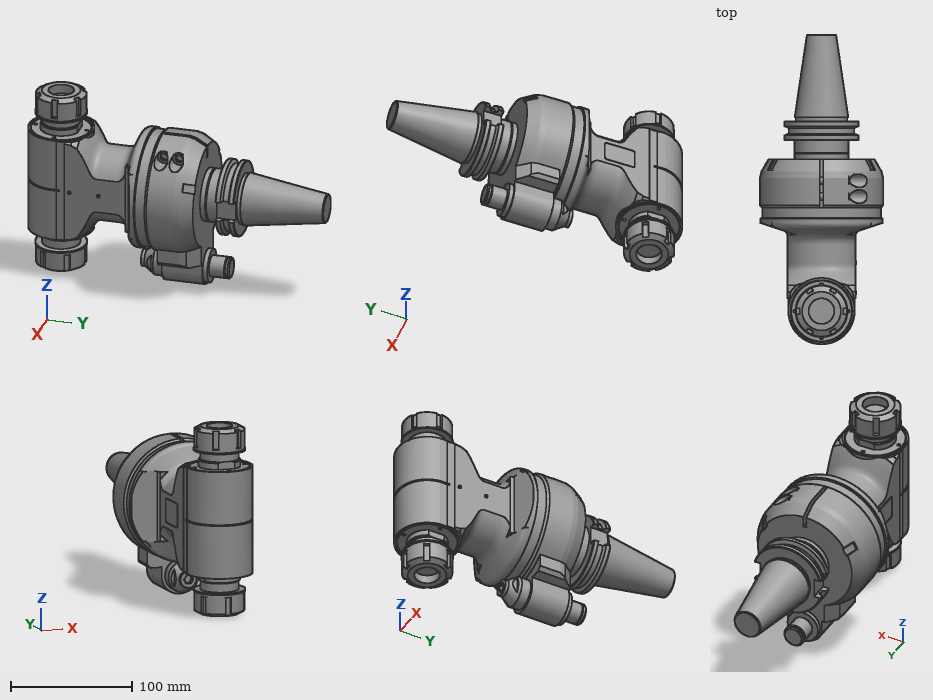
import cadquery as cq
import math


TAPER_LENGTH = 68.4
GAUGE_RADIUS = 44.45 / 2
TAPER_SLOPE = 7 / 24 / 2
TAPER_TIP_CHAMFER = 0.8
RELIEF_RADIUS = 21.4
FLANGE_BACK = -3.2
FLANGE_FRONT = -19.1
FLANGE_RADIUS = 63.55 / 2
FLANGE_CHAMFER = 0.6
GRIP_CENTER = -11.1
GRIP_RADIUS = 28.4
GRIP_FLOOR_WIDTH = 4.6
GRIP_MOUTH_WIDTH = 7.6
DRIVE_SLOT_WIDTH = 17.0
DRIVE_SLOT_FLOOR = 25.0
NECK_RADIUS = 22.4
NECK_END = -29.3
GAP_WIDTH = 0.9
GAP_RADIUS = 21.4

BOSS_RADIUS = NECK_RADIUS
DRUM_BACK = -34.5
DRUM_BACK_RADIUS = 43.8
DRUM_CONE_END = -44.7
DRUM_CONE_END_RADIUS = 49.6
DRUM_SHOULDER = -50.0
DRUM_RADIUS = 51.0
DRUM_FRONT = -72.5
DRUM_LIP = 2.1
COLLAR_RADIUS = 49.2
COLLAR_FRONT = -82.9
RIM_RADIUS = 50.5
RIM_CHAMFER = 0.7
RIM_FRONT = -87.4
RIM_ROUND_MIDDLE = (49.9, -89.6)
RIM_ROUND_END = (48.3, -91.3)

SLIT_WIDTH = 2.8
SLIT_FLOOR = 34.0
SCREW_YS = (-52.3, -65.4)
SCREW_Z = 40.0
SCREW_SHANK_DIAMETER = 6.0
SCREW_POCKET_DIAMETER = 11.0
SCREW_POCKET_FLOOR = 22.5
SCREW_RECESS_DIAMETER = 6.5
SCREW_RECESS_DEPTH = 3.0
NOTCH_ANGLES = (29, 151)
NOTCH_WIDTH = 7.0
NOTCH_DEPTH = 1.6
NOTCH_LENGTH = 9.0

ARM_HALF_WIDTH = 28.2
WAIST_RADIUS = 31.9
WAIST_BACK = -98.9
WAIST_BACK_SLOPE = 65.0
WAIST_BACK_FILLET = 9.0
WAIST_FRONT = -125.9
WAIST_FRONT_SLOPE = 57.0
WAIST_FRONT_FILLET = 8.0
SHOULDER_1 = (44.5, -134.6)
SHOULDER_2 = (49.2, -138.5)
SHOULDER_3 = (51.4, -143.8)
ARM_MAX_RADIUS = 52.0
ARM_FRONT = -149.5
BEVEL_OUTER = (50.5, -87.1)
BEVEL_INNER = (29.6, -94.2)
BEVEL_END_Y = -96.9
BEVEL_HALF_HEIGHT = 29.4
PLATE_CENTER_Y = -123.0
PLATE_LENGTH = 26.6
PLATE_HEIGHT = 20.4
PLATE_CORNER = 2.0
PLATE_DEPTH = 0.3
PLUG_YS = (-120.0, -145.0)
PLUG_DIAMETER = 2.5
PLUG_HEIGHT = 0.7

SPINDLE_Y = -160.0
HEAD_RADIUS = 27.45
HEAD_HALF_WIDTH = 27.25
HEAD_ROOT_FRONT = -156.5
HEAD_HALF_HEIGHT = 45.0
ARM_TOP_STEP = 0.3
SEAM_WIDTH = 0.9
SEAM_DEPTH = 0.5
SEAM_BACK = -154.0
FACE_GROOVE_RADIUS = 25.0
FACE_GROOVE_WIDTH = 0.6
FACE_GROOVE_DEPTH = 0.5
FACE_HOLE_CIRCLE = 21.9
FACE_HOLE_COUNT = 4
FACE_HOLE_DIAMETER = 2.6
FACE_HOLE_DEPTH = 4.0

SPINDLE_COLLAR_RADIUS = 17.4
SPINDLE_COLLAR_TOP = 51.3
SPINDLE_COLLAR_CHAMFER = 1.0
WRENCH_FLAT = 31.6
SPINDLE_RADIUS = 16.0
NUT_BASE = 58.7
NUT_TOP = 78.9
NUT_RADIUS = 21.0
NUT_LIP_RADIUS = 21.5
NUT_LIP_HEIGHT = 1.2
NUT_FACE_RADIUS = 16.0
NUT_CONE_HEIGHT = 2.8
NUT_BORE_RADIUS = 10.6
NUT_BORE_DEPTH = 8.0
NUT_SLOT_COUNT = 6
NUT_SLOT_WIDTH = 5.0
NUT_SLOT_FLOOR = 18.0
NUT_SLOT_END = 62.3

BLOCK_HALF_WIDTH = 29.0
BLOCK_BOTTOM = -57.0
BLOCK_CHAMFER = 3.2
BLOCK_SHOULDER_HALF_WIDTH = 27.3
BLOCK_BACK_HALF_WIDTH = 18.0
BLOCK_FRONT = -69.2
PIN_Z = -64.6
SLEEVE_RADIUS = 16.0
SLEEVE_HALF_WIDTH = 15.8
SLEEVE_FLAT_END = -67.0
PIN_STEM_RADIUS = 9.0
PIN_STEM_BACK = -13.7
PIN_STEM_CHAMFER = 1.2
PIN_GROOVE_POSITION = -17.0
PIN_GROOVE_WIDTH = 0.8
PIN_GROOVE_DEPTH = 0.4
PIN_FLANGE_RADIUS = 14.2
PIN_FLANGE_BACK = -30.6
PIN_HEAD_RADIUS = 13.2
PIN_CONE_START = -77.5
PIN_CONE_END = -86.6
PIN_TIP_RADIUS = 7.2
PIN_TIP_FRONT = -89.6
PIN_FLAT_OFFSET = 9.0
PIN_FLAT_BACK = -79.9
HEX_SOCKET_SIZE = 8.0
HEX_SOCKET_DEPTH = 4.0

REACH = 70.0


def box_between(x_range, y_range, z_range):
    """Axis-aligned box from its limits."""
    return cq.Workplane("XY").box(
        x_range[1] - x_range[0], y_range[1] - y_range[0], z_range[1] - z_range[0], centered=False
    ).translate((x_range[0], y_range[0], z_range[0]))


def turn_about_y(points):
    """Solid of revolution about Y from (radius, y) points."""
    return cq.Workplane("XY").polyline(points).close().revolve(360, (0, 0, 0), (0, 1, 0))


def cylinder_x(diameter, x_start, x_end, y, z):
    return cq.Workplane("YZ", origin=(x_start, y, z)).circle(diameter / 2).extrude(x_end - x_start)


def make_shank():
    tip_radius = GAUGE_RADIUS - TAPER_LENGTH * TAPER_SLOPE
    c = FLANGE_CHAMFER
    shank = turn_about_y([
        (0, TAPER_LENGTH),
        (tip_radius - TAPER_TIP_CHAMFER, TAPER_LENGTH),
        (tip_radius, TAPER_LENGTH - TAPER_TIP_CHAMFER),
        (GAUGE_RADIUS, 0),
        (RELIEF_RADIUS, 0),
        (RELIEF_RADIUS, FLANGE_BACK),
        (FLANGE_RADIUS - c, FLANGE_BACK),
        (FLANGE_RADIUS, FLANGE_BACK - c),
        (FLANGE_RADIUS, GRIP_CENTER + GRIP_MOUTH_WIDTH / 2),
        (GRIP_RADIUS, GRIP_CENTER + GRIP_FLOOR_WIDTH / 2),
        (GRIP_RADIUS, GRIP_CENTER - GRIP_FLOOR_WIDTH / 2),
        (FLANGE_RADIUS, GRIP_CENTER - GRIP_MOUTH_WIDTH / 2),
        (FLANGE_RADIUS, FLANGE_FRONT + c),
        (FLANGE_RADIUS - c, FLANGE_FRONT),
        (NECK_RADIUS, FLANGE_FRONT),
        (NECK_RADIUS, NECK_END),
        (GAP_RADIUS, NECK_END),
        (GAP_RADIUS, NECK_END - GAP_WIDTH),
        (0, NECK_END - GAP_WIDTH),
    ])
    half = DRIVE_SLOT_WIDTH / 2
    for x_range in ((DRIVE_SLOT_FLOOR, REACH), (-REACH, -DRIVE_SLOT_FLOOR)):
        shank = shank.cut(box_between(x_range, (FLANGE_FRONT, FLANGE_BACK), (-half, half)))
    return shank


def make_drum():
    """Boss, clamp drum, collar and rim, turned about the drive axis."""
    return turn_about_y([
        (0, NECK_END - GAP_WIDTH),
        (BOSS_RADIUS, NECK_END - GAP_WIDTH),
        (BOSS_RADIUS, DRUM_BACK),
        (DRUM_BACK_RADIUS, DRUM_BACK),
        (DRUM_CONE_END_RADIUS, DRUM_CONE_END),
        (DRUM_RADIUS, DRUM_SHOULDER),
        (DRUM_RADIUS, DRUM_FRONT),
        (COLLAR_RADIUS, DRUM_FRONT - DRUM_LIP),
        (COLLAR_RADIUS, COLLAR_FRONT),
        (RIM_RADIUS, COLLAR_FRONT - RIM_CHAMFER),
        (RIM_RADIUS, RIM_FRONT),
        (0, RIM_FRONT),
    ])


def waist_fillet(corner_y, slope_angle, radius, toward_end):
    """Start, middle and end (r, y) of the arc between the waist and a sloped flank.

    toward_end is +1 where the flank rises toward +Y and -1 where it rises toward -Y.
    """
    bend = math.radians(slope_angle)
    start_y = corner_y - toward_end * radius * math.tan(bend / 2)
    points = []
    for angle in (0, bend / 2, bend):
        rise = radius * (1 - math.cos(angle))
        run = radius * math.sin(angle)
        points.append((WAIST_RADIUS + rise, start_y + toward_end * run))
    return points


def make_arm():
    """Waisted body of revolution flattened to the arm width."""
    back_start, back_mid, back_end = waist_fillet(WAIST_BACK, WAIST_BACK_SLOPE, WAIST_BACK_FILLET, 1)
    front_start, front_mid, front_end = waist_fillet(
        WAIST_FRONT, WAIST_FRONT_SLOPE, WAIST_FRONT_FILLET, -1
    )
    arm = (
        cq.Workplane("XY")
        .moveTo(0, RIM_FRONT)
        .lineTo(RIM_RADIUS, RIM_FRONT)
        .threePointArc(RIM_ROUND_MIDDLE, RIM_ROUND_END)
        .lineTo(*back_end)
        .threePointArc(back_mid, back_start)
        .lineTo(*front_start)
        .threePointArc(front_mid, front_end)
        .lineTo(*SHOULDER_1)
        .lineTo(*SHOULDER_2)
        .lineTo(*SHOULDER_3)
        .lineTo(ARM_MAX_RADIUS, ARM_FRONT)
        .lineTo(0, ARM_FRONT)
        .close()
        .revolve(360, (0, 0, 0), (0, 1, 0))
    )
    shoulder = turn_about_y(
        [(0, RIM_FRONT), (RIM_RADIUS, RIM_FRONT), (RIM_RADIUS, BEVEL_END_Y), (0, BEVEL_END_Y)]
    )
    mid_height = box_between(
        (-REACH, REACH), (BEVEL_END_Y, RIM_FRONT), (-BEVEL_HALF_HEIGHT, BEVEL_HALF_HEIGHT)
    )
    arm = arm.union(shoulder.intersect(mid_height))
    for side in (1, -1):
        trim = (
            cq.Workplane("XY", origin=(0, 0, -REACH))
            .polyline([
                (side * BEVEL_OUTER[0], BEVEL_OUTER[1]),
                (side * BEVEL_INNER[0], BEVEL_INNER[1]),
                (side * ARM_HALF_WIDTH, BEVEL_END_Y),
                (side * ARM_HALF_WIDTH, ARM_FRONT),
                (side * REACH, ARM_FRONT),
                (side * REACH, BEVEL_OUTER[1]),
            ])
            .close()
            .extrude(2 * REACH)
        )
        arm = arm.cut(trim)
    arm_half_height = HEAD_HALF_HEIGHT - ARM_TOP_STEP
    for z_range in ((arm_half_height, REACH), (-REACH, -arm_half_height)):
        arm = arm.cut(box_between((-REACH, REACH), (ARM_FRONT, SHOULDER_1[1]), z_range))
    return arm


def make_head():
    """Upright cylinder around the spindles, flattened on +X and -X, with a root back to the arm."""
    head = cq.Workplane("XY", origin=(0, SPINDLE_Y, -HEAD_HALF_HEIGHT)).circle(HEAD_RADIUS)
    head = head.extrude(2 * HEAD_HALF_HEIGHT)
    flats = box_between((-HEAD_HALF_WIDTH, HEAD_HALF_WIDTH), (SPINDLE_Y - REACH, 0), (-REACH, REACH))
    head = head.intersect(flats)
    half_height = HEAD_HALF_HEIGHT - ARM_TOP_STEP
    z_range = (-half_height, half_height)
    lean_root = box_between((-HEAD_HALF_WIDTH, HEAD_HALF_WIDTH), (SPINDLE_Y, ARM_FRONT), z_range)
    wide_root = box_between((-HEAD_RADIUS, HEAD_RADIUS), (HEAD_ROOT_FRONT, ARM_FRONT), z_range)
    return head.union(lean_root).union(wide_root)


def head_cuts():
    """Seam around the middle, face grooves and face holes of the spindle head."""
    seam = (
        cq.Workplane("XY", origin=(0, SPINDLE_Y, -SEAM_WIDTH / 2))
        .circle(HEAD_RADIUS + SEAM_DEPTH)
        .circle(HEAD_RADIUS - SEAM_DEPTH)
        .extrude(SEAM_WIDTH)
    )
    seam_zone = box_between((-REACH, REACH), (SPINDLE_Y - REACH, SEAM_BACK), (-REACH, REACH))
    cuts = [seam.intersect(seam_zone)]
    for z_face, depth_direction in ((HEAD_HALF_HEIGHT, -1), (-HEAD_HALF_HEIGHT, 1)):
        face = cq.Workplane("XY", origin=(0, SPINDLE_Y, z_face))
        groove = face.circle(FACE_GROOVE_RADIUS + FACE_GROOVE_WIDTH).circle(FACE_GROOVE_RADIUS)
        cuts.append(groove.extrude(depth_direction * FACE_GROOVE_DEPTH))
        holes = face.polarArray(FACE_HOLE_CIRCLE, 0, 360, FACE_HOLE_COUNT).circle(FACE_HOLE_DIAMETER / 2)
        cuts.append(holes.extrude(depth_direction * FACE_HOLE_DEPTH))
    return cuts


def make_torque_arm():
    """Chamfered block under the drum with a sleeve around the locating pin."""
    outline = [
        (BLOCK_HALF_WIDTH, BLOCK_FRONT),
        (BLOCK_HALF_WIDTH, DRUM_SHOULDER),
        (BLOCK_SHOULDER_HALF_WIDTH, DRUM_CONE_END),
        (BLOCK_BACK_HALF_WIDTH, DRUM_BACK),
    ]
    mirrored = [(-x, y) for x, y in reversed(outline)]
    block = (
        cq.Workplane("XY", origin=(0, 0, BLOCK_BOTTOM))
        .polyline(outline + mirrored)
        .close()
        .extrude(-BLOCK_BOTTOM)
    )
    for side in (1, -1):
        corner = (
            cq.Workplane("XZ", origin=(0, DRUM_BACK, 0))
            .polyline([
                (side * BLOCK_HALF_WIDTH, BLOCK_BOTTOM),
                (side * (BLOCK_HALF_WIDTH - BLOCK_CHAMFER), BLOCK_BOTTOM),
                (side * BLOCK_HALF_WIDTH, BLOCK_BOTTOM + BLOCK_CHAMFER),
            ])
            .close()
            .extrude(DRUM_BACK - BLOCK_FRONT)
        )
        block = block.cut(corner)
    sleeve = cq.Workplane("XZ", origin=(0, DRUM_BACK, PIN_Z)).circle(SLEEVE_RADIUS)
    sleeve = sleeve.extrude(DRUM_BACK - BLOCK_FRONT)
    y_range = (BLOCK_FRONT, DRUM_BACK)
    x_range = (-SLEEVE_HALF_WIDTH, SLEEVE_HALF_WIDTH)
    sleeve = sleeve.intersect(box_between(x_range, y_range, (-2 * REACH, 0)))
    web = box_between(x_range, y_range, (SLEEVE_FLAT_END, BLOCK_BOTTOM))
    return block.union(sleeve).union(web)


def make_pin():
    """Locating pin: stem, flange, round head, cone and tip with a hex socket."""
    groove_radius = PIN_STEM_RADIUS - PIN_GROOVE_DEPTH
    pin = turn_about_y([
        (0, PIN_STEM_BACK),
        (PIN_STEM_RADIUS - PIN_STEM_CHAMFER, PIN_STEM_BACK),
        (PIN_STEM_RADIUS, PIN_STEM_BACK - PIN_STEM_CHAMFER),
        (PIN_STEM_RADIUS, PIN_GROOVE_POSITION),
        (groove_radius, PIN_GROOVE_POSITION),
        (groove_radius, PIN_GROOVE_POSITION - PIN_GROOVE_WIDTH),
        (PIN_STEM_RADIUS, PIN_GROOVE_POSITION - PIN_GROOVE_WIDTH),
        (PIN_STEM_RADIUS, PIN_FLANGE_BACK),
        (PIN_FLANGE_RADIUS, PIN_FLANGE_BACK),
        (PIN_FLANGE_RADIUS, DRUM_BACK),
        (PIN_HEAD_RADIUS, DRUM_BACK),
        (PIN_HEAD_RADIUS, PIN_CONE_START),
        (PIN_TIP_RADIUS, PIN_CONE_END),
        (PIN_TIP_RADIUS, PIN_TIP_FRONT),
        (0, PIN_TIP_FRONT),
    ])
    socket = (
        cq.Workplane("XZ", origin=(0, PIN_TIP_FRONT + HEX_SOCKET_DEPTH, 0))
        .polygon(6, HEX_SOCKET_SIZE)
        .extrude(HEX_SOCKET_DEPTH)
    )
    pin = pin.cut(socket)
    for x_range in ((PIN_FLAT_OFFSET, REACH), (-REACH, -PIN_FLAT_OFFSET)):
        pin = pin.cut(box_between(x_range, (PIN_TIP_FRONT, PIN_FLAT_BACK), (-REACH, REACH)))
    return pin.translate((0, 0, PIN_Z))


def drum_cuts():
    """Clamp slit, screw pockets and the notches in the back cone."""
    slit_half = SLIT_WIDTH / 2
    slit = box_between(
        (-slit_half, slit_half), (DRUM_FRONT - DRUM_LIP, DRUM_BACK), (SLIT_FLOOR, REACH)
    )
    for y in SCREW_YS:
        slit = slit.cut(cylinder_x(SCREW_SHANK_DIAMETER, -SLIT_WIDTH, SLIT_WIDTH, y, SCREW_Z))
    cuts = [slit]
    for y in SCREW_YS:
        cuts.append(cylinder_x(SCREW_POCKET_DIAMETER, SCREW_POCKET_FLOOR, REACH, y, SCREW_Z))
        recess_floor = SCREW_POCKET_FLOOR - SCREW_RECESS_DEPTH
        cuts.append(cylinder_x(SCREW_RECESS_DIAMETER, recess_floor, REACH, y, SCREW_Z))
    cone_rise = (DRUM_CONE_END_RADIUS - DRUM_BACK_RADIUS) / (DRUM_BACK - DRUM_CONE_END)
    floor_back = DRUM_BACK_RADIUS - NOTCH_DEPTH
    notch = (
        cq.Workplane("XY", origin=(0, 0, -NOTCH_WIDTH / 2))
        .polyline([
            (floor_back, DRUM_BACK),
            (floor_back + cone_rise * NOTCH_LENGTH, DRUM_BACK - NOTCH_LENGTH),
            (REACH, DRUM_BACK - NOTCH_LENGTH),
            (REACH, DRUM_BACK),
        ])
        .close()
        .extrude(NOTCH_WIDTH)
    )
    for angle in NOTCH_ANGLES:
        cuts.append(notch.rotate((0, 0, 0), (0, 1, 0), -angle))
    return cuts


def make_housing():
    housing = make_drum().union(make_torque_arm())
    for cut in drum_cuts():
        housing = housing.cut(cut)
    housing = housing.union(make_arm()).union(make_head()).union(make_pin())
    for cut in head_cuts():
        housing = housing.cut(cut)
    label = (
        cq.Workplane("YZ", origin=(-ARM_HALF_WIDTH, PLATE_CENTER_Y, 0))
        .rect(PLATE_LENGTH, PLATE_HEIGHT)
        .extrude(PLATE_DEPTH)
        .edges("|X")
        .fillet(PLATE_CORNER)
    )
    housing = housing.cut(label)
    for y in PLUG_YS:
        plug = cylinder_x(PLUG_DIAMETER, 0, ARM_HALF_WIDTH + PLUG_HEIGHT, y, 0)
        housing = housing.union(plug)
    return housing


def make_spindle():
    """Upper spindle with wrench flats and slotted clamping nut, on the Z axis."""
    spindle = (
        cq.Workplane("XZ")
        .polyline([
            (0, HEAD_HALF_HEIGHT),
            (SPINDLE_COLLAR_RADIUS, HEAD_HALF_HEIGHT),
            (SPINDLE_COLLAR_RADIUS, SPINDLE_COLLAR_TOP - SPINDLE_COLLAR_CHAMFER),
            (SPINDLE_COLLAR_RADIUS - SPINDLE_COLLAR_CHAMFER, SPINDLE_COLLAR_TOP),
            (SPINDLE_RADIUS, SPINDLE_COLLAR_TOP),
            (SPINDLE_RADIUS, NUT_BASE),
            (NUT_LIP_RADIUS, NUT_BASE),
            (NUT_LIP_RADIUS, NUT_BASE + NUT_LIP_HEIGHT),
            (NUT_RADIUS, NUT_BASE + NUT_LIP_HEIGHT),
            (NUT_RADIUS, NUT_TOP - NUT_CONE_HEIGHT),
            (NUT_FACE_RADIUS, NUT_TOP),
            (NUT_BORE_RADIUS, NUT_TOP),
            (NUT_BORE_RADIUS, NUT_TOP - NUT_BORE_DEPTH),
            (0, NUT_TOP - NUT_BORE_DEPTH),
        ])
        .close()
        .revolve(360, (0, 0, 0), (0, 1, 0))
    )
    for y_range in ((WRENCH_FLAT / 2, REACH), (-REACH, -WRENCH_FLAT / 2)):
        flat = box_between((-REACH, REACH), y_range, (HEAD_HALF_HEIGHT, SPINDLE_COLLAR_TOP))
        spindle = spindle.cut(flat)
    slot = box_between(
        (NUT_SLOT_FLOOR, REACH), (-NUT_SLOT_WIDTH / 2, NUT_SLOT_WIDTH / 2), (NUT_SLOT_END, NUT_TOP)
    )
    for i in range(NUT_SLOT_COUNT):
        spindle = spindle.cut(slot.rotate((0, 0, 0), (0, 0, 1), i * 360 / NUT_SLOT_COUNT))
    return spindle


spindles = []
for flip_angle, turn_angle in ((0, 0), (180, 90)):
    spindle = make_spindle().rotate((0, 0, 0), (1, 0, 0), flip_angle)
    spindle = spindle.rotate((0, 0, 0), (0, 0, 1), turn_angle)
    spindles.append(spindle.translate((0, SPINDLE_Y, 0)).solids().val())

shank = make_shank()
housing = make_housing()

result = cq.Compound.makeCompound([shank.solids().val(), housing.solids().val(), *spindles])